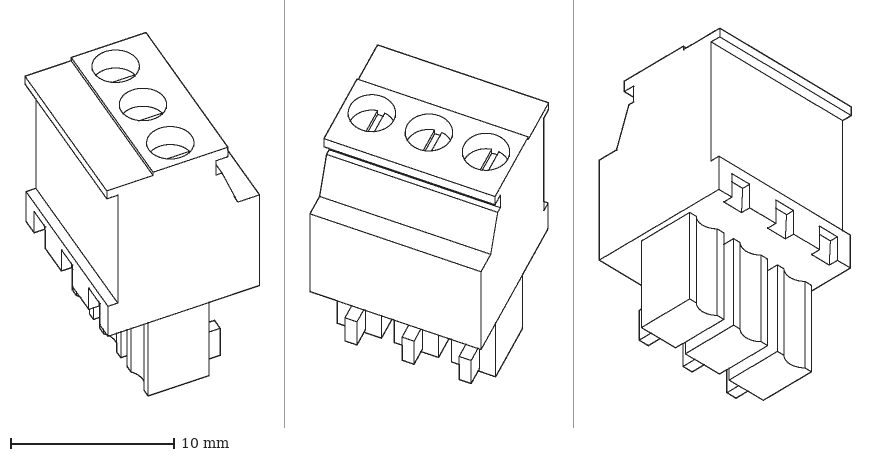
import cadquery as cq


CONTACTS = 3
WIDTH = 11.42
PITCH = WIDTH / CONTACTS

HEIGHT = 19.1
LEG_LENGTH = 6.59
FOOT_TOP = 9.11
SHELF_Z = 14.21
SLOPE_TOP_Z = 17.1
REAR_FLANGE_Z = 18.3
FRONT_FLANGE_Z = 18.16
FRONT_FLANGE_TOP = 18.83

DEPTH = 10.4
FOOT_Y = 0.08
WALL_Y = 0.75
TOP_STEP_Y = 3.15
REAR_FLANGE_Y = 8.25
NECK_Y = 7.45
SLOPE_TOP_Y = 7.85
SLOPE_BASE_Y = 8.92

NOTCH_WIDTH = 1.55
NOTCH_HEIGHT = 1.8
NOTCH_TOP_Y = 0.69
NOTCH_BOTTOM_Y = 0.78

LEG_WIDTH = 2.96
LEG_FRONT_Y = 3.02
LEG_BACK_Y = 7.18
GROOVE_WIDTH = 1.81
GROOVE_DEPTH = 0.36

LATCH_WIDTH = 0.8
LATCH_BACK_Y = 8.46
LATCH_BOTTOM = 0.27
LATCH_TOP = 2.54

SCREW_DIAMETER = 2.9
SCREW_Y = 5.25
SCREW_RECESS = 1.5
SCREW_TOP = HEIGHT - SCREW_RECESS
SCREW_LENGTH = 1.15
SCREW_BOTTOM = SCREW_TOP - SCREW_LENGTH
SLOT_WIDTH = 0.48
SLOT_DEPTH = 0.38

CONTACT_X = [(i + 0.5) * PITCH for i in range(CONTACTS)]


def block(x_middle, width, y_front, y_back, z_bottom, z_top):
    """Rectangular block, centred on x_middle and placed by its limits in Y and Z."""
    return (
        cq.Workplane("XY", origin=(x_middle, y_front, z_bottom))
        .box(width, y_back - y_front, z_top - z_bottom, centered=(True, False, False))
    )


def make_shell():
    """Housing above the legs: one side outline carried across the full width."""
    outline = [
        (FOOT_Y, LEG_LENGTH),
        (FOOT_Y, FOOT_TOP),
        (WALL_Y, FOOT_TOP),
        (WALL_Y, FRONT_FLANGE_Z),
        (0, FRONT_FLANGE_Z),
        (0, FRONT_FLANGE_TOP),
        (TOP_STEP_Y, FRONT_FLANGE_TOP),
        (TOP_STEP_Y, HEIGHT),
        (REAR_FLANGE_Y, HEIGHT),
        (REAR_FLANGE_Y, REAR_FLANGE_Z),
        (NECK_Y, REAR_FLANGE_Z),
        (NECK_Y, SLOPE_TOP_Z),
        (SLOPE_TOP_Y, SLOPE_TOP_Z),
        (SLOPE_BASE_Y, SHELF_Z),
        (DEPTH, SHELF_Z),
        (DEPTH, LEG_LENGTH),
    ]
    return cq.Workplane("YZ").polyline(outline).close().extrude(WIDTH)


def notch_cutter(x):
    """Notch up into the front foot from below, with its leaning back wall."""
    side = [
        (FOOT_Y, LEG_LENGTH),
        (NOTCH_BOTTOM_Y, LEG_LENGTH),
        (NOTCH_TOP_Y, LEG_LENGTH + NOTCH_HEIGHT),
        (FOOT_Y, LEG_LENGTH + NOTCH_HEIGHT),
    ]
    return cq.Workplane("YZ", origin=(x - NOTCH_WIDTH / 2, 0, 0)).polyline(side).close().extrude(NOTCH_WIDTH)


def make_leg(x):
    """Plug leg with a round groove down its front and a latch block on its back."""
    leg = (
        cq.Workplane("XY")
        .moveTo(x - LEG_WIDTH / 2, LEG_FRONT_Y)
        .lineTo(x - GROOVE_WIDTH / 2, LEG_FRONT_Y)
        .threePointArc((x, LEG_FRONT_Y + GROOVE_DEPTH), (x + GROOVE_WIDTH / 2, LEG_FRONT_Y))
        .lineTo(x + LEG_WIDTH / 2, LEG_FRONT_Y)
        .lineTo(x + LEG_WIDTH / 2, LEG_BACK_Y)
        .lineTo(x - LEG_WIDTH / 2, LEG_BACK_Y)
        .close()
        .extrude(LEG_LENGTH)
    )
    latch = block(x, LATCH_WIDTH, LEG_BACK_Y, LATCH_BACK_Y, LATCH_BOTTOM, LATCH_TOP)
    return leg.union(latch)


def screw_cylinder(x, z_bottom, z_top):
    """Cylinder on the axis of the screw at x."""
    return (
        cq.Workplane("XY", origin=(x, SCREW_Y, z_bottom))
        .circle(SCREW_DIAMETER / 2)
        .extrude(z_top - z_bottom)
    )


def make_housing():
    """Shell with its legs, foot notches and screw holes."""
    housing = make_shell()
    for x in CONTACT_X:
        housing = housing.union(make_leg(x))
        housing = housing.cut(notch_cutter(x))
        housing = housing.cut(screw_cylinder(x, SCREW_BOTTOM, HEIGHT))
    return housing


def make_screw(x):
    """Screw filling the lower part of its hole, slotted from front to back."""
    screw = screw_cylinder(x, SCREW_BOTTOM, SCREW_TOP)
    slot = block(
        x,
        SLOT_WIDTH,
        SCREW_Y - SCREW_DIAMETER / 2,
        SCREW_Y + SCREW_DIAMETER / 2,
        SCREW_TOP - SLOT_DEPTH,
        SCREW_TOP,
    )
    return screw.cut(slot)


housing = make_housing()
screws = [make_screw(x) for x in CONTACT_X]

result = cq.Compound.makeCompound([housing.val(), *[screw.val() for screw in screws]])